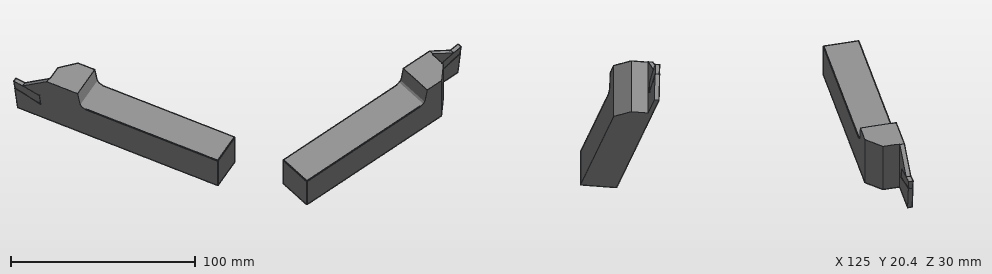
import cadquery as cq
import math

TOTAL_LENGTH = 125.0
SHANK_WIDTH = 20.0
SHANK_HEIGHT = 20.0
SHANK_CHAMFER = 0.4

HEAD_HEIGHT = 30.0
HEAD_FRONT_X = 20.2
HEAD_BACK_X = 39.1
HEAD_BACK_LEAN = 11.0
HEAD_FILLET = 3.5

HEAD_ROOT_X = HEAD_BACK_X + (HEAD_HEIGHT - SHANK_HEIGHT) * math.tan(math.radians(HEAD_BACK_LEAN))
FILLET_END_X = HEAD_ROOT_X + HEAD_FILLET * math.tan(math.radians((90 - HEAD_BACK_LEAN) / 2))

BLADE_WIDTH = 2.6
BLADE_BASE_X = 2.4
BLADE_TOE_X = 5.5
SHOULDER_X = 20.8
SHOULDER_TAPER_WIDTH = 1.2
SHOULDER_TAPER_DEPTH = 0.2
CORNER_CHAMFER = 8.1

TIP_TOP = (0.0, SHANK_HEIGHT)
TIP_BOTTOM = (0.6, 14.6)
NECK_TOP = (6.9, 18.9)
NECK_BOTTOM = (6.9, 12.9)
CLAMP_TOP = (9.4, 18.1)
CLAMP_BOTTOM = (9.1, 12.2)
HEEL_TOP = (15.8, 16.5)
HEEL_BOTTOM = (16.6, 10.2)
TIP_RELIEF = 0.2
HEEL_FLARE = 0.4


def prism(outline):
    """Extrude an XZ outline across the full width of the shank."""
    return cq.Workplane("XZ").polyline(outline).close().extrude(-SHANK_WIDTH)


def make_side_profile():
    """Side outline of the shank, head and blade, with the root of the head rounded."""
    toe_fraction = BLADE_TOE_X / NECK_TOP[0]
    toe_z = TIP_TOP[1] + toe_fraction * (NECK_TOP[1] - TIP_TOP[1])
    profile = prism([
        (BLADE_BASE_X, 0),
        (TOTAL_LENGTH, 0),
        (TOTAL_LENGTH, SHANK_HEIGHT),
        (HEAD_ROOT_X, SHANK_HEIGHT),
        (HEAD_BACK_X, HEAD_HEIGHT),
        (HEAD_FRONT_X, HEAD_HEIGHT),
        (BLADE_TOE_X, toe_z),
        TIP_BOTTOM,
    ])
    root_edge = cq.selectors.NearestToPointSelector((HEAD_ROOT_X, SHANK_WIDTH / 2, SHANK_HEIGHT))
    return profile.edges("|Y").edges(root_edge).fillet(HEAD_FILLET)


def make_head_envelope():
    """Plan of the front part: narrow blade, tapered shoulder and 45 degree corner."""
    return (
        cq.Workplane("XY")
        .polyline([
            (0, 0),
            (FILLET_END_X, 0),
            (FILLET_END_X, SHANK_WIDTH),
            (SHOULDER_X + CORNER_CHAMFER, SHANK_WIDTH),
            (SHOULDER_X, SHANK_WIDTH - CORNER_CHAMFER),
            (SHOULDER_X, BLADE_WIDTH + SHOULDER_TAPER_WIDTH),
            (SHOULDER_X - SHOULDER_TAPER_DEPTH, BLADE_WIDTH),
            (0, BLADE_WIDTH),
        ])
        .close()
        .extrude(HEAD_HEIGHT)
    )


def make_seat():
    """Through slot in the blade that receives the insert."""
    return prism([
        TIP_TOP, NECK_TOP, CLAMP_TOP, HEEL_TOP,
        HEEL_BOTTOM, CLAMP_BOTTOM, NECK_BOTTOM, TIP_BOTTOM,
    ])


def make_shank_envelope():
    """Bar behind the head, chamfered along its top edges and around its end."""
    bar = (
        cq.Workplane("XY")
        .box(TOTAL_LENGTH - FILLET_END_X, SHANK_WIDTH, SHANK_HEIGHT, centered=False)
        .translate((FILLET_END_X, 0, 0))
    )
    end_uprights = bar.edges("|Z and >X").vals()
    top_edges = bar.edges(">Z").edges("|X or >X").vals()
    return bar.newObject(end_uprights + top_edges).chamfer(SHANK_CHAMFER)


def make_holder():
    envelope = make_head_envelope().union(make_shank_envelope())
    return make_side_profile().intersect(envelope).cut(make_seat()).solids()


def insert_section(top, bottom, overhang):
    """Closed cross section, as wide as the blade on top; overhang widens its bottom."""
    return cq.Wire.makePolygon(
        [
            cq.Vector(top[0], 0, top[1]),
            cq.Vector(top[0], BLADE_WIDTH, top[1]),
            cq.Vector(bottom[0], BLADE_WIDTH + overhang, bottom[1]),
            cq.Vector(bottom[0], -overhang, bottom[1]),
        ],
        close=True,
    )


def make_insert():
    """Insert relieved at the tip, flush at the clamp and flared at the heel."""
    sections = [
        insert_section(TIP_TOP, TIP_BOTTOM, -TIP_RELIEF),
        insert_section(NECK_TOP, NECK_BOTTOM, -TIP_RELIEF),
        insert_section(CLAMP_TOP, CLAMP_BOTTOM, 0),
        insert_section(HEEL_TOP, HEEL_BOTTOM, HEEL_FLARE),
    ]
    return cq.Workplane(cq.Solid.makeLoft(sections, True))


holder = make_holder()
insert = make_insert()
result = cq.Compound.makeCompound([holder.val(), insert.val()])